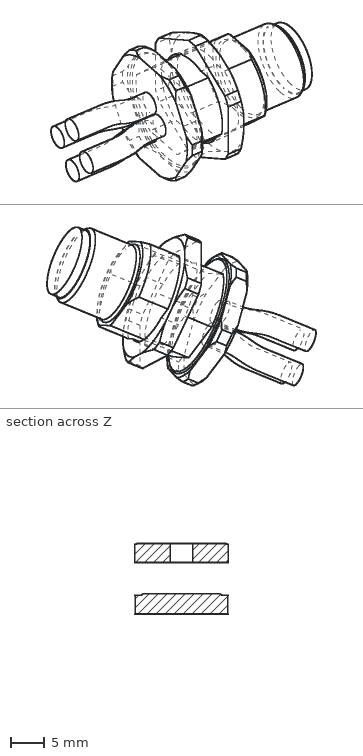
import cadquery as cq
import math

total_length = 40.0

nose_diameter = 10.8
plug_diameter = 12.0
nose_length = 1.35
plug_chamfer_width = 0.45
plug_chamfer_height = 0.6
collar_diameter = 12.55
collar_start = 31.05

body_diameter = 16.0
body_end = 30.55
body_chamfer = 0.9
body_across_flats = 13.45
flat_angles = (90, 135, 270, 315)

hex_across_flats = 19.0
nut_bottom = 21.85
nut_thickness = 2.9
nut_corner_diameter = 21.0
nut_bore_diameter = 14.25
nut_chamfer_width = 0.9
nut_chamfer_height = 0.5
flange_bottom = 14.1
flange_thickness = 2.85
flange_corner_diameter = 20.9
flange_chamfer = 0.55
flange_top = flange_bottom + flange_thickness

ring_diameter = 18.5
ring_height = 0.25
ring_chamfer = 0.25

wire_diameter = 3.5
wire_inner_offset = 2.54
wire_outer_offset = 3.75
bend_start = 12.0
bend_end = 5.95
wire_angles = (0, 90, 180, 270)
lower_wire_angle = 270
lower_wire_shift = (0.1, 0, -0.1)


def revolve_profile(points):
    """Revolve a closed (radius, Y) outline about the Y axis."""
    outline = cq.Workplane("XY").polyline(points).close()
    return outline.revolve(360, (0, 0, 0), (0, 1, 0))


def y_cylinder(radius, start, end):
    """Cylinder about the Y axis between two Y positions."""
    return revolve_profile([(0, start), (radius, start), (radius, end), (0, end)])


def plug():
    nose_start = total_length - nose_length
    nose_radius = nose_diameter / 2
    plug_radius = plug_diameter / 2
    return revolve_profile([
        (0, flange_top),
        (plug_radius, flange_top),
        (plug_radius, nose_start - plug_chamfer_height),
        (plug_radius - plug_chamfer_width, nose_start),
        (nose_radius, nose_start),
        (nose_radius, total_length),
        (0, total_length),
    ])


def collar():
    """Small cone between the plug and the end face of the body."""
    return revolve_profile([
        (0, body_end),
        (collar_diameter / 2, body_end),
        (plug_diameter / 2, collar_start),
        (0, collar_start),
    ])


def body():
    length = body_end - flange_bottom
    blank = y_cylinder(body_diameter / 2, flange_bottom, body_end)
    blank = blank.faces(">Y").chamfer(body_chamfer)
    flat_distance = body_across_flats / 2
    for angle in flat_angles:
        cutter = cq.Workplane("XY").box(
            body_diameter, length, body_diameter, centered=(False, False, True)
        )
        cutter = cutter.translate((flat_distance, flange_bottom, 0))
        blank = blank.cut(cutter.rotate((0, 0, 0), (0, 1, 0), -angle))
    return blank


def hexagon(bottom, thickness, corner_angle):
    """Hexagonal prism along Y; corner_angle turns a corner away from +X."""
    corner_distance = hex_across_flats / math.cos(math.radians(30))
    prism = cq.Workplane("XZ").polygon(6, corner_distance).extrude(-thickness)
    prism = prism.rotate((0, 0, 0), (0, 1, 0), -corner_angle)
    return prism.translate((0, bottom, 0))


def lock_nut():
    """Hexagon with corners on Z, rounded and chamfered on the plug side.

    Its round bore is narrower than the thread but stands clear of the wrench flats.
    """
    top = nut_bottom + nut_thickness
    radius = nut_corner_diameter / 2
    envelope = revolve_profile([
        (0, nut_bottom),
        (radius, nut_bottom),
        (radius, top - nut_chamfer_height),
        (radius - nut_chamfer_width, top),
        (0, top),
    ])
    bore = y_cylinder(nut_bore_diameter / 2, nut_bottom, top)
    return hexagon(nut_bottom, nut_thickness, 90).intersect(envelope).cut(bore)


def flange():
    """Hexagon with corners on X, rounded and chamfered on both sides."""
    envelope = y_cylinder(flange_corner_diameter / 2, flange_bottom, flange_top)
    envelope = envelope.faces("<Y or >Y").chamfer(flange_chamfer)
    return hexagon(flange_bottom, flange_thickness, 0).intersect(envelope)


def flange_ring():
    ring = y_cylinder(ring_diameter / 2, flange_bottom, flange_top + ring_height)
    return ring.faces(">Y").chamfer(ring_chamfer)


def wire(angle):
    """Straight wire with an S-bend of two equal arcs, leading away from the axis."""
    bend_length = bend_start - bend_end
    bend_offset = wire_outer_offset - wire_inner_offset
    middle = (wire_inner_offset + bend_offset / 2, bend_end + bend_length / 2)
    path = (
        cq.Workplane("XY")
        .moveTo(wire_inner_offset, flange_top)
        .lineTo(wire_inner_offset, bend_start)
        .tangentArcPoint(middle, relative=False)
        .tangentArcPoint((wire_outer_offset, bend_end), relative=False)
        .lineTo(wire_outer_offset, 0)
    )
    section = cq.Workplane("XZ", origin=(wire_inner_offset, flange_top, 0))
    strand = section.circle(wire_diameter / 2).sweep(path)
    return strand.rotate((0, 0, 0), (0, 1, 0), -angle)


result = plug().union(collar()).union(body()).union(lock_nut())
result = result.union(flange()).union(flange_ring())
for wire_angle in wire_angles:
    strand = wire(wire_angle)
    if wire_angle == lower_wire_angle:
        strand = strand.translate(lower_wire_shift)
    result = result.union(strand)